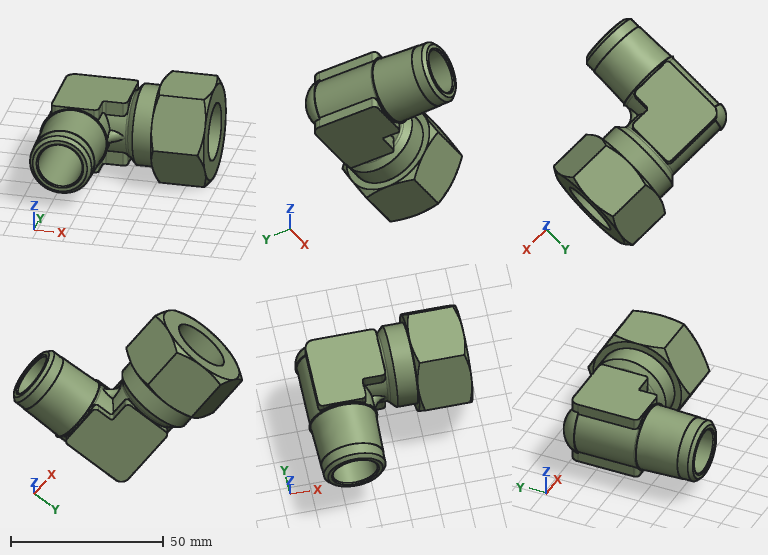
import cadquery as cq
import math


arm_radius = 11.0
envelope_radius = 11.45
arm_length = 16.0
flare_length = 0.8
flare_end = arm_length + flare_length
bend_centre = 5.55

web_tube_radius = 2.1
web_inner_radius = 5.0

pad_half_width_stub = 8.0
pad_half_width_run = 8.8
pad_outer_corner = 3.1
pad_end_corner = 1.45
pad_inner_corner = 0.9

collar_radius = 13.55
collar_cone_end = flare_end + collar_radius - envelope_radius
nut_start = 25.7
nut_end = 43.6
nut_across_flats = 32.0
nut_corner_radius = nut_across_flats / math.sqrt(3)
nut_chamfer_angle = math.radians(30)

stub_length = 36.5
stub_taper = 1 / 32
taper_end = 31.5
tip_radius = 10.4
stub_chamfer = 1.2

drill_half_angle = math.radians(60)
run_bore_radius = 9.6
stub_bore_radius = 7.5
stub_bore_chamfer = 0.45


def revolve_on_run(profile):
    """Revolve a closed (x, radius) profile about the X axis."""
    return profile.close().revolve(360, (0, 0, 0), (1, 0, 0))


def turn_to_stub(solid):
    """Turn a body lying along +X so that it lies along -Y."""
    return solid.rotate((0, 0, 0), (0, 0, 1), -90)


def make_arm():
    """Round arm along +X, ending in a short concave flare."""
    return revolve_on_run(
        cq.Workplane("XY")
        .moveTo(-bend_centre, 0)
        .lineTo(-bend_centre, arm_radius)
        .lineTo(arm_length, arm_radius)
        .tangentArcPoint((flare_end, envelope_radius), relative=False)
        .lineTo(flare_end, 0)
    )


def make_collar():
    """Cone and cylinder between the run arm and the nut."""
    return revolve_on_run(
        cq.Workplane("XY")
        .moveTo(flare_end, 0)
        .lineTo(flare_end, envelope_radius)
        .lineTo(collar_cone_end, collar_radius)
        .lineTo(nut_start, collar_radius)
        .lineTo(nut_start, 0)
    )


def make_nut():
    """Hexagon nut with corners along Y and both ends chamfered."""
    hexagon = (
        cq.Workplane("YZ", origin=(nut_start, 0, 0))
        .polygon(6, 2 * nut_corner_radius)
        .extrude(nut_end - nut_start)
    )
    face_radius = nut_across_flats / 2
    chamfer_length = (nut_corner_radius - face_radius) * math.tan(nut_chamfer_angle)
    chamfer_envelope = revolve_on_run(
        cq.Workplane("XY")
        .moveTo(nut_start, 0)
        .lineTo(nut_start, face_radius)
        .lineTo(nut_start + chamfer_length, nut_corner_radius)
        .lineTo(nut_end - chamfer_length, nut_corner_radius)
        .lineTo(nut_end, face_radius)
        .lineTo(nut_end, 0)
    )
    return hexagon.intersect(chamfer_envelope)


def make_stub():
    """Tapered end with a plain, chamfered tip."""
    taper_end_radius = arm_radius - stub_taper * (taper_end - flare_end)
    stub = revolve_on_run(
        cq.Workplane("XY")
        .moveTo(flare_end, 0)
        .lineTo(flare_end, arm_radius)
        .lineTo(taper_end, taper_end_radius)
        .lineTo(taper_end, tip_radius)
        .lineTo(stub_length - stub_chamfer, tip_radius)
        .lineTo(stub_length, tip_radius - stub_chamfer)
        .lineTo(stub_length, 0)
    )
    return turn_to_stub(stub)


def make_outer_bend():
    """Quarter turn of the envelope circle segment that lies outside the bend axis."""
    chord_half = math.sqrt(envelope_radius**2 - bend_centre**2)
    return (
        cq.Workplane("XZ", origin=(0, bend_centre, 0))
        .moveTo(-bend_centre, -chord_half)
        .threePointArc((-envelope_radius, 0), (-bend_centre, chord_half))
        .close()
        .revolve(90, (-bend_centre, 0.55, 0), (-bend_centre, 0, 0))
    )


def make_inner_web():
    """Quarter ring that rounds the inner corner between the two arms."""
    ring_radius = web_inner_radius + web_tube_radius
    return (
        cq.Workplane("XZ", origin=(0, -arm_length, 0))
        .center(arm_length - ring_radius, 0)
        .circle(web_tube_radius)
        .revolve(90, (ring_radius, 0.55, 0), (ring_radius, 0, 0))
    )


def make_pads():
    """L-shaped slab whose top and bottom form the flat pads."""
    slab = (
        cq.Workplane("XY", origin=(0, 0, -envelope_radius))
        .moveTo(-pad_half_width_stub, pad_half_width_run)
        .lineTo(arm_length, pad_half_width_run)
        .lineTo(arm_length, -pad_half_width_run)
        .lineTo(pad_half_width_stub, -pad_half_width_run)
        .lineTo(pad_half_width_stub, -arm_length)
        .lineTo(-pad_half_width_stub, -arm_length)
        .close()
        .extrude(2 * envelope_radius)
    )
    outer_corner = (-pad_half_width_stub, pad_half_width_run, 0)
    inner_corner = (pad_half_width_stub, -pad_half_width_run, 0)
    end_corners = [
        (arm_length, pad_half_width_run, 0),
        (arm_length, -pad_half_width_run, 0),
        (pad_half_width_stub, -arm_length, 0),
        (-pad_half_width_stub, -arm_length, 0),
    ]
    slab = slab.edges(cq.selectors.NearestToPointSelector(outer_corner)).fillet(pad_outer_corner)
    slab = slab.edges(cq.selectors.NearestToPointSelector(inner_corner)).fillet(pad_inner_corner)
    for corner in end_corners:
        slab = slab.edges(cq.selectors.NearestToPointSelector(corner)).fillet(pad_end_corner)
    return slab


def make_bore(radius, length, mouth_chamfer=0):
    """Bore along +X with a drill point behind the origin and an optional mouth chamfer."""
    profile = (
        cq.Workplane("XY")
        .moveTo(-radius / math.tan(drill_half_angle), 0)
        .lineTo(0, radius)
        .lineTo(length - mouth_chamfer, radius)
    )
    if mouth_chamfer:
        profile = profile.lineTo(length, radius + mouth_chamfer)
    return revolve_on_run(profile.lineTo(length, 0))


body = make_arm().union(turn_to_stub(make_arm()))
body = body.union(make_outer_bend()).union(make_inner_web()).union(make_pads())
body = body.union(make_collar()).union(make_nut()).union(make_stub())

run_bore = make_bore(run_bore_radius, nut_end)
stub_bore = turn_to_stub(make_bore(stub_bore_radius, stub_length, stub_bore_chamfer))
result = body.cut(run_bore).cut(stub_bore)